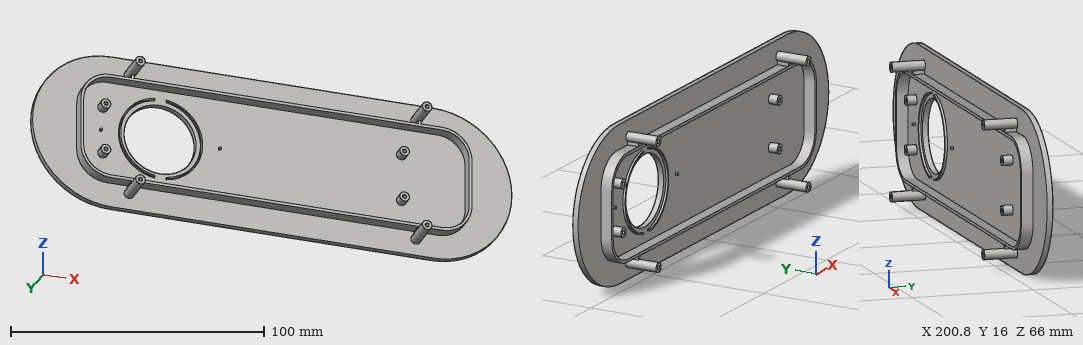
import cadquery as cq

plate_length = 200.8
plate_height = 66.0
plate_thickness = 2.5

rim_length = 163.9
rim_height = 45.4
rim_corner_radius = 12.7
rim_wall = 1.2
rim_depth = 4.8

total_depth = 16.0
pin_length = total_depth - plate_thickness
pin_x = 60.0
pin_z = 26.1
pin_diameter = 4.0
pin_bore = 1.6
web_thickness = 1.2

boss_x_left = -71.0
boss_x_right = 54.0
boss_z = 10.0
boss_diameter = 4.0
boss_bore = 1.6
boss_length = 4.0

window_x = -47.0
window_diameter = 30.1
ridge_outer_diameter = 35.0
ridge_width = 0.6
ridge_gap = 4.8
peg_offset = 24.9
peg_diameter = 1.0
raised_height = 1.0


def inner_face(x=0.0):
    """Workplane on the inner face of the plate, with its normal along -Y."""
    return cq.Workplane("XZ", origin=(x, 0, 0))


def rounded_block(length, height, corner_radius):
    block = inner_face().rect(length, height).extrude(rim_depth)
    return block.edges("|Y").fillet(corner_radius)


def make_plate():
    return inner_face().slot2D(plate_length, plate_height).extrude(-plate_thickness)


def make_rim():
    outer = rounded_block(rim_length, rim_height, rim_corner_radius)
    inner = rounded_block(
        rim_length - 2 * rim_wall,
        rim_height - 2 * rim_wall,
        rim_corner_radius - rim_wall,
    )
    return outer.cut(inner)


def make_webs():
    """Webs running from the middle of the rim wall to each pin axis."""
    start_z = rim_height / 2 - rim_wall / 2
    span = pin_z - start_z
    middle_z = start_z + span / 2
    places = [(x, z) for x in (-pin_x, pin_x) for z in (-middle_z, middle_z)]
    return inner_face().pushPoints(places).rect(web_thickness, span).extrude(rim_depth)


def make_posts(places, diameter, length):
    return inner_face().pushPoints(places).circle(diameter / 2).extrude(length)


def make_ridges():
    """Two arcs of a ring, parted above and below the window."""
    outer_radius = ridge_outer_diameter / 2
    ring = (
        inner_face(window_x)
        .circle(outer_radius)
        .circle(outer_radius - ridge_width)
        .extrude(raised_height)
    )
    gap = inner_face(window_x).rect(ridge_gap, 2 * ridge_outer_diameter).extrude(raised_height)
    return ring.cut(gap)


def make_window():
    return inner_face(window_x).circle(window_diameter / 2).extrude(-plate_thickness)


pin_places = [(x, z) for x in (-pin_x, pin_x) for z in (-pin_z, pin_z)]
boss_places = [(x, z) for x in (boss_x_left, boss_x_right) for z in (-boss_z, boss_z)]
peg_places = [(window_x - peg_offset, 0), (window_x + peg_offset, 0)]

result = (
    make_plate()
    .union(make_rim())
    .union(make_webs())
    .union(make_posts(pin_places, pin_diameter, pin_length))
    .union(make_posts(boss_places, boss_diameter, boss_length))
    .union(make_posts(peg_places, peg_diameter, raised_height))
    .union(make_ridges())
    .cut(make_posts(pin_places, pin_bore, pin_length))
    .cut(make_posts(boss_places, boss_bore, boss_length))
    .cut(make_window())
)